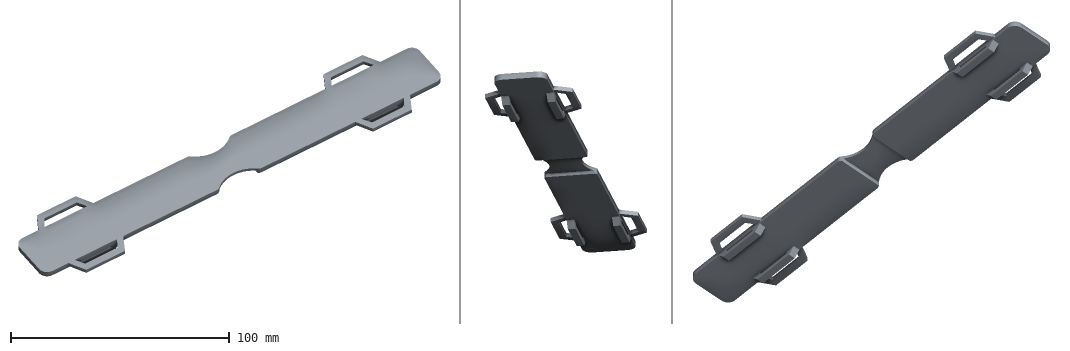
import cadquery as cq

length = 219.9
width = 24.6
thickness = 2.9
corner_radius = 4.5

middle_y = -2.9

waist_length = 22.6
waist_width = 15.5
waist_blend_radius = 2.2
groove_floor_length = 19.5
groove_mouth_length = 21.0
waist_thickness = 1.5

loop_spacing = 157.7
loop_tip_length = 21.3
loop_tip_opening = 17.8
loop_bar = 3.5

overall_width = 40.7
side_loop_thickness = 2.0
side_loop_root_length = 30.1
side_loop_root_opening = 23.3

overall_height = 6.2
bottom_loop_bar = 2.0
bottom_loop_root_length = 27.7
bottom_loop_root_opening = 18.3

half_width = width / 2
loop_stations = [middle_y - loop_spacing / 2, middle_y + loop_spacing / 2]


def trapezoid(plane, root, tip, root_length, tip_length, depth):
    """Prism centred on local Y, running from root to tip along local X."""
    points = [
        (root, -root_length / 2),
        (tip, -tip_length / 2),
        (tip, tip_length / 2),
        (root, root_length / 2),
    ]
    return cq.Workplane(plane).polyline(points).close().extrude(depth)


def make_strip():
    strip = cq.Workplane("XY").rect(width, length).extrude(-thickness)
    return strip.edges("|Z").fillet(corner_radius)


def make_waist_cut(side):
    edge_x = side * half_width
    return (
        cq.Workplane("XY")
        .moveTo(edge_x, middle_y - waist_length / 2)
        .threePointArc(
            (side * waist_width / 2, middle_y),
            (edge_x, middle_y + waist_length / 2),
        )
        .close()
        .extrude(-thickness)
    )


def make_groove():
    plane = cq.Plane(origin=(-half_width, middle_y, 0), xDir=(0, 0, -1), normal=(1, 0, 0))
    return trapezoid(
        plane, waist_thickness, thickness, groove_floor_length, groove_mouth_length, width
    )


def make_side_loop(side, station):
    plane = cq.Plane(origin=(0, station, 0), xDir=(side, 0, 0), normal=(0, 0, -1))
    tip = overall_width / 2
    frame = trapezoid(
        plane, half_width, tip, side_loop_root_length, loop_tip_length, side_loop_thickness
    )
    opening = trapezoid(
        plane, half_width, tip - loop_bar, side_loop_root_opening, loop_tip_opening, side_loop_thickness
    )
    return frame.cut(opening)


def make_bottom_loop(side, station):
    plane = cq.Plane(
        origin=(side * half_width, station, 0), xDir=(0, 0, -1), normal=(-side, 0, 0)
    )
    frame = trapezoid(
        plane, thickness, overall_height, bottom_loop_root_length, loop_tip_length, loop_bar
    )
    opening = trapezoid(
        plane,
        thickness,
        overall_height - bottom_loop_bar,
        bottom_loop_root_opening,
        loop_tip_opening,
        loop_bar,
    )
    return frame.cut(opening)


def make_waisted_strip():
    strip = make_strip()
    for side in (-1, 1):
        strip = strip.cut(make_waist_cut(side))
    waist_ends = cq.selectors.BoxSelector(
        (-width, middle_y - waist_length, -overall_height),
        (width, middle_y + waist_length, overall_height),
    )
    return strip.edges("|Z").edges(waist_ends).fillet(waist_blend_radius)


result = make_waisted_strip().cut(make_groove())
for side in (-1, 1):
    for station in loop_stations:
        result = result.union(make_side_loop(side, station))
        result = result.union(make_bottom_loop(side, station))